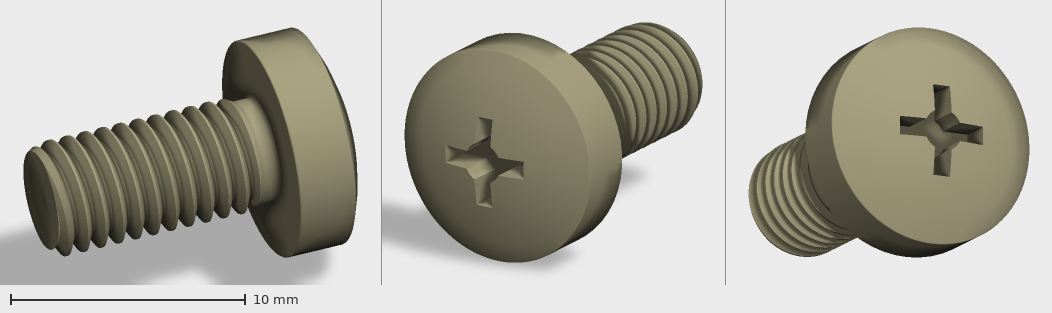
import cadquery as cq
import math


head_radius = 4.75
head_height = 3.7
dome_radius = 10.0
head_edge_fillet = 0.07
dome_rise = dome_radius - math.sqrt(dome_radius**2 - head_radius**2)

recess_depth = 1.64
recess_core_radius = 0.9
recess_arm_width = 0.8
recess_arm_reach = 2.0

shank_length = 10.0
neck_length = 0.79
neck_radius = 2.27
neck_fillet = 0.16
thread_length = shank_length - neck_length
apex_height = shank_length + head_height

thread_radius = 2.5
root_radius = 2.01
thread_turns = 11.5
pitch = thread_length / thread_turns
flank_slope = math.tan(math.radians(30))
crest_width = pitch / 8
thread_end_radius = 2.23
tip_dish_radius = 2.06
tip_dish_depth = 0.11
lead_in_slope = math.tan(math.radians(30))
groove_overshoot = 0.04
core_overlap = 0.07


def make_head():
    """Short cylinder with a spherical dome and slightly rounded edges."""
    rim_height = apex_height - dome_rise
    half_angle = math.asin(head_radius / dome_radius) / 2
    dome_middle = (
        dome_radius * math.sin(half_angle),
        apex_height - dome_radius * (1 - math.cos(half_angle)),
    )
    head = (
        cq.Workplane("XZ")
        .moveTo(0, shank_length)
        .lineTo(head_radius, shank_length)
        .lineTo(head_radius, rim_height)
        .threePointArc(dome_middle, (0, apex_height))
        .close()
        .revolve(360, (0, 0), (0, 1))
    )
    return head.faces("%CYLINDER").edges("%CIRCLE").fillet(head_edge_fillet)


def make_recess():
    """Cutter for the cross recess: two crossing arms around a round core."""
    floor = cq.Workplane("XY").workplane(offset=apex_height - recess_depth)
    cutter = floor.circle(recess_core_radius).extrude(recess_depth)
    for length_x, length_y in (
        (2 * recess_arm_reach, recess_arm_width),
        (recess_arm_width, 2 * recess_arm_reach),
    ):
        cutter = cutter.union(floor.rect(length_x, length_y).extrude(recess_depth))
    return cutter


def make_groove():
    """Helical cutter of the thread, running from one pitch outside the tip up to the neck."""
    root_half_width = (pitch - crest_width) / 2 - (thread_radius - root_radius) * flank_slope
    outer_radius = thread_radius + groove_overshoot
    outer_half_width = root_half_width + (outer_radius - root_radius) * flank_slope
    start = -pitch
    helix_length = thread_length - start
    helix = cq.Wire.makeHelix(pitch, helix_length, root_radius, center=cq.Vector(0, 0, start))
    profile = cq.Workplane("XZ").polyline(
        [
            (root_radius, start - root_half_width),
            (outer_radius, start - outer_half_width),
            (outer_radius, start + outer_half_width),
            (root_radius, start + root_half_width),
        ]
    ).close()
    return profile.sweep(cq.Workplane(obj=helix), isFrenet=True)


def make_thread():
    """Threaded length with conical lead-ins at both ends and a shallow conical dish in the tip."""
    tip_lead_in = (thread_radius - thread_end_radius) / lead_in_slope
    neck_lead_in = (thread_radius - neck_radius) / lead_in_slope
    blank = (
        cq.Workplane("XZ")
        .polyline(
            [
                (0, tip_dish_depth),
                (tip_dish_radius, 0),
                (thread_end_radius, 0),
                (thread_radius, tip_lead_in),
                (thread_radius, thread_length - neck_lead_in),
                (neck_radius, thread_length),
                (0, thread_length),
            ]
        )
        .close()
        .revolve(360, (0, 0), (0, 1))
    )
    return blank.cut(make_groove())


def make_neck():
    """Plain neck, flared into the head and closing the thread groove with a 45 degree cone."""
    cone_radius = root_radius - core_overlap
    cone_start = thread_length - (neck_radius - cone_radius)
    flare_middle = neck_fillet * (1 - math.sqrt(0.5))
    return (
        cq.Workplane("XZ")
        .moveTo(0, cone_start)
        .lineTo(cone_radius, cone_start)
        .lineTo(neck_radius, thread_length)
        .lineTo(neck_radius, shank_length - neck_fillet)
        .threePointArc(
            (neck_radius + flare_middle, shank_length - flare_middle),
            (neck_radius + neck_fillet, shank_length),
        )
        .lineTo(0, shank_length)
        .close()
        .revolve(360, (0, 0), (0, 1))
    )


screw = make_head().cut(make_recess()).union(make_neck()).union(make_thread())
result = screw.rotate((0, 0, 0), (1, 0, 0), -90)